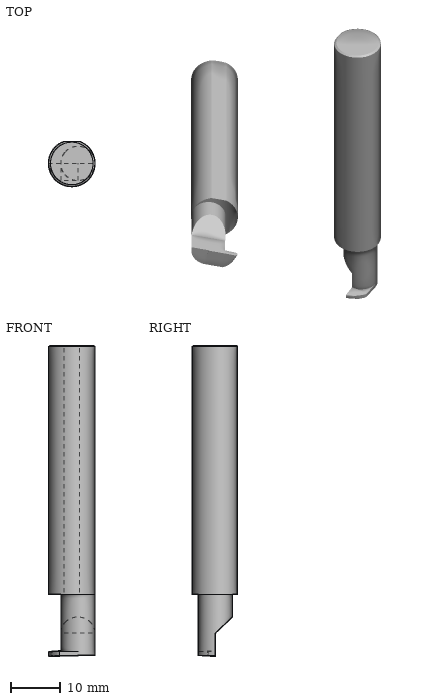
import cadquery as cq


shank_diameter = 9.525
shank_radius = shank_diameter / 2
shank_length = 50.8
flat_depth = 0.255
chamfer_radial = 0.42
chamfer_height = 0.25

neck_radius = 3.5
neck_length = 12.45
neck_center_x = shank_radius - neck_radius
relief_start_z = -4.6
relief_end_z = -7.9

tip_x = -shank_radius
tip_bottom_z = -12.68
tip_top_z = -11.62
nose_radius = 0.3
root_x = neck_center_x - neck_radius
root_top_z = -11.44
root_bottom_z = -12.6
heel_y = -neck_radius
heel_top_z = -11.65
heel_bottom_z = -neck_length
heel_end_x = -3.6
heel_start_x = -2.5
flank_end = (-2.95, -3.2)
flank_middle = (-4.12, -1.75)
outline_depth = 2 * neck_length


def make_shank():
    """Round shank with a beveled top end and a full-length clamping flat."""
    profile = (
        cq.Workplane("XZ")
        .lineTo(shank_radius, 0)
        .lineTo(shank_radius, shank_length - chamfer_height)
        .lineTo(shank_radius - chamfer_radial, shank_length)
        .lineTo(0, shank_length)
        .close()
    )
    shank = profile.revolve(360, (0, 0, 0), (0, 1, 0))
    flat_cutter = cq.Workplane("XY").box(
        shank_diameter, shank_radius, shank_length, centered=(True, False, False)
    )
    return shank.cut(flat_cutter.translate((0, shank_radius - flat_depth, 0)))


def make_neck():
    """Eccentric round neck, cut back to the Y = 0 plane below a slanted relief."""
    neck = cq.Workplane("XY").center(neck_center_x, 0).circle(neck_radius).extrude(-neck_length)
    relief = (
        cq.Workplane("YZ")
        .polyline(
            [
                (0, -neck_length),
                (0, relief_end_z),
                (neck_radius, relief_start_z),
                (neck_radius, -neck_length),
            ]
        )
        .close()
        .extrude(shank_diameter, both=True)
    )
    return neck.cut(relief)


def make_outline():
    """Plan outline of the head: curved flank, short bevel and straight heel."""
    return (
        cq.Workplane("XY")
        .workplane(offset=-outline_depth)
        .moveTo(tip_x, 0)
        .threePointArc(flank_middle, flank_end)
        .lineTo(heel_start_x, heel_y)
        .lineTo(neck_center_x, heel_y)
        .lineTo(neck_center_x, 0)
        .close()
        .extrude(outline_depth)
    )


def nose_section(y, end_x, top_levels, bottom_levels):
    """Section of the nose at one Y; each pair of levels runs from the neck root to the nose end."""
    root_top, end_top = top_levels
    root_bottom, end_bottom = bottom_levels
    return (
        cq.Workplane("XZ", origin=(0, y, 0))
        .moveTo(root_x, root_top)
        .lineTo(end_x + nose_radius, end_top)
        .radiusArc((end_x, end_top - nose_radius), -nose_radius)
        .lineTo(end_x, end_bottom + nose_radius)
        .radiusArc((end_x + nose_radius, end_bottom), -nose_radius)
        .lineTo(root_x, root_bottom)
        .close()
        .val()
    )


def make_nose():
    """Round-cornered nose that narrows toward the heel; the flank trims its corners away."""
    face = nose_section(0, tip_x, (root_top_z, tip_top_z), (root_bottom_z, tip_bottom_z))
    heel = nose_section(heel_y, heel_end_x, (heel_top_z, heel_top_z), (heel_bottom_z, heel_bottom_z))
    return cq.Workplane(cq.Solid.makeLoft([face, heel], True)).intersect(make_outline())


def make_base():
    """Thin foot under the neck that carries the nose."""
    section = [(0, heel_top_z), (heel_y, heel_top_z), (heel_y, heel_bottom_z), (0, root_bottom_z)]
    foot_length = neck_center_x - root_x
    return cq.Workplane("YZ", origin=(root_x, 0, 0)).polyline(section).close().extrude(foot_length)


result = make_shank().union(make_neck()).union(make_base()).union(make_nose())